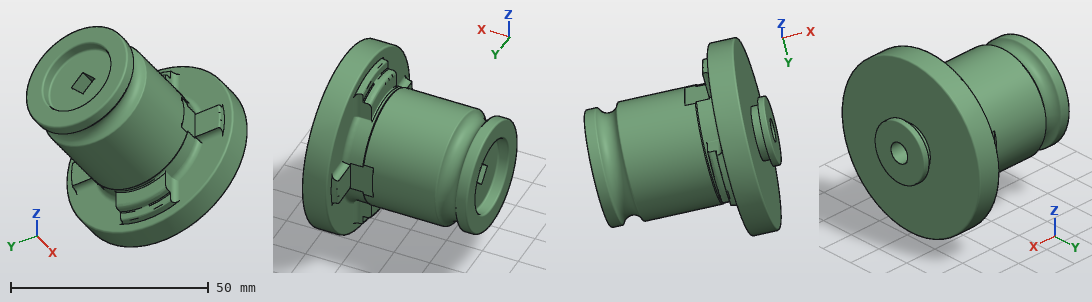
import cadquery as cq
import math


tolerance = 0.005

groove_x = 5.8
body_end_x = 28.95
neck_x = 29.25
flange_front_x = 34.5
flange_back_x = 41.5
button_front_x = 43.75
total_length = 45.5

lip_diameter = 30.5
body_diameter = 31
neck_diameter = 30.6
flange_diameter = 50
stem_diameter = 14.2
button_diameter = 17.9

groove_radius = 2.85
groove_bottom_radius = 13.3

edge_round = 0.5
button_round = 0.35

wing_height = 1.9
wing_tip_diameter = 44.8
side_wing_width = 7.35
lug_width = 14.9
lug_height = 4.25
lug_tip_diameter = 40
root_fillet = 1.45
wing_tip_round = 0.45
lug_tip_round = 1
lug_foot_fillet = 0.25
lug_neck_fillet = 0.3

flat_start_x = 26.25
flat_offset = 14.75

bore_diameter = 20.1
bore_depth = 3
floor_fillet = 0.5
socket_side = 4.9
socket_depth = 10
through_diameter = 6

wing_x = flange_front_x - wing_height
lug_x = flange_front_x - lug_height


def disc(start_x, end_x, diameter):
    """Cylinder on the X axis between two stations."""
    return cq.Workplane("YZ", origin=(start_x, 0, 0)).circle(diameter / 2).extrude(end_x - start_x)


def cross_block(start_x, end_x, y_size, z_size):
    """Rectangular block centred on the X axis between two stations."""
    return cq.Workplane("YZ", origin=(start_x, 0, 0)).rect(y_size, z_size).extrude(end_x - start_x)


def ring_edges(solid, station_x, inner_radius=0, outer_radius=flange_diameter):
    """Edges lying in the plane of a station, with midpoints between two radii from the axis."""

    def matches(edge):
        box = edge.BoundingBox()
        middle = edge.positionAt(0.5)
        in_plane = abs(box.xmin - station_x) < tolerance and abs(box.xmax - station_x) < tolerance
        return in_plane and inner_radius < math.hypot(middle.y, middle.z) < outer_radius

    return solid.newObject([edge for edge in solid.edges().vals() if matches(edge)])


def turned_body():
    """Lip, groove, barrel and neck, up to the flange face."""
    lip_radius = lip_diameter / 2
    body_radius = body_diameter / 2
    neck_radius = neck_diameter / 2
    groove_centre_radius = groove_bottom_radius + groove_radius
    groove_start_x = groove_x - math.sqrt(groove_radius**2 - (groove_centre_radius - lip_radius) ** 2)
    groove_end_x = groove_x + math.sqrt(groove_radius**2 - (groove_centre_radius - body_radius) ** 2)
    body = (
        cq.Workplane("XY")
        .lineTo(0, lip_radius)
        .lineTo(groove_start_x, lip_radius)
        .threePointArc((groove_x, groove_bottom_radius), (groove_end_x, body_radius))
        .lineTo(body_end_x, body_radius)
        .lineTo(neck_x, neck_radius)
        .lineTo(flange_front_x, neck_radius)
        .lineTo(flange_front_x, 0)
        .close()
        .revolve(360, (0, 0, 0), (1, 0, 0))
    )
    for station_x in (0, groove_start_x, groove_end_x):
        body = ring_edges(body, station_x).fillet(edge_round)
    return body


def flange():
    plate = disc(flange_front_x, flange_back_x, flange_diameter).edges().fillet(edge_round)
    stem = disc(flange_back_x, button_front_x, stem_diameter)
    button = disc(button_front_x, total_length, button_diameter).faces(">X").edges().fillet(button_round)
    return plate.union(stem).union(button)


def wings():
    """Neck root and four radial wings, blended into the flange and trimmed to a round tip."""
    reach = 2 * flange_diameter
    spider = (
        disc(wing_x, flange_front_x, neck_diameter)
        .union(cross_block(wing_x, flange_front_x, reach, side_wing_width))
        .union(cross_block(wing_x, flange_front_x, lug_width, reach))
        .union(cross_block(flange_front_x, flange_back_x, reach, reach))
    )
    root_edges = ring_edges(spider, flange_front_x, outer_radius=wing_tip_diameter)
    spider = root_edges.fillet(root_fillet)
    spider = spider.intersect(disc(wing_x, flange_front_x, wing_tip_diameter))
    return ring_edges(spider, wing_x, lug_tip_diameter / 2).edges("%CIRCLE").fillet(wing_tip_round)


def lugs():
    """Taller curved steps standing on the two Z wings."""
    slab = cross_block(lug_x, wing_x, lug_width, 2 * lug_tip_diameter)
    slab = slab.intersect(disc(lug_x, wing_x, lug_tip_diameter))
    return slab.faces("<X").edges("%CIRCLE").fillet(lug_tip_round)


def flat_cuts():
    """Flats on both Y sides of the neck, running up to the side wings."""
    cutter = cross_block(flat_start_x, wing_x, body_diameter, body_diameter)
    return cutter.cut(cross_block(flat_start_x, wing_x, 2 * flat_offset, body_diameter))


def bore():
    """Round recess in the front with a square drive socket and a round hole behind it."""
    recess = disc(0, bore_depth, bore_diameter).faces(">X").edges().fillet(floor_fillet)
    socket = cross_block(0, socket_depth, socket_side, socket_side).rotate((0, 0, 0), (1, 0, 0), 45)
    return recess.union(socket).union(disc(socket_depth, total_length, through_diameter))


def lug_neck_edges(solid):
    """Edges where the lugs and the straight sides of their wings meet the neck."""
    root_start_x = flange_front_x - root_fillet

    def matches(edge):
        box = edge.BoundingBox()
        middle = edge.positionAt(0.5)
        on_neck = abs(math.hypot(middle.y, middle.z) - neck_diameter / 2) < tolerance
        on_lug = abs(middle.y) < lug_width / 2 + tolerance and abs(middle.z) > lug_width / 2
        in_reach = box.xmin > lug_x - tolerance and box.xmax < root_start_x + tolerance
        return on_neck and on_lug and in_reach

    return solid.newObject([edge for edge in solid.edges().vals() if matches(edge)])


solid_part = turned_body().union(flange()).union(wings()).union(lugs())

lug_tip_radius = lug_tip_diameter / 2
lug_foot_edges = ring_edges(solid_part, wing_x, lug_tip_radius - tolerance, lug_tip_radius + tolerance)
solid_part = lug_foot_edges.fillet(lug_foot_fillet)
solid_part = lug_neck_edges(solid_part).fillet(lug_neck_fillet)

cut_part = solid_part.cut(flat_cuts()).cut(bore())
bore_radius = bore_diameter / 2
mouth_edge = ring_edges(cut_part, 0, bore_radius - tolerance, bore_radius + tolerance)
result = mouth_edge.fillet(edge_round)